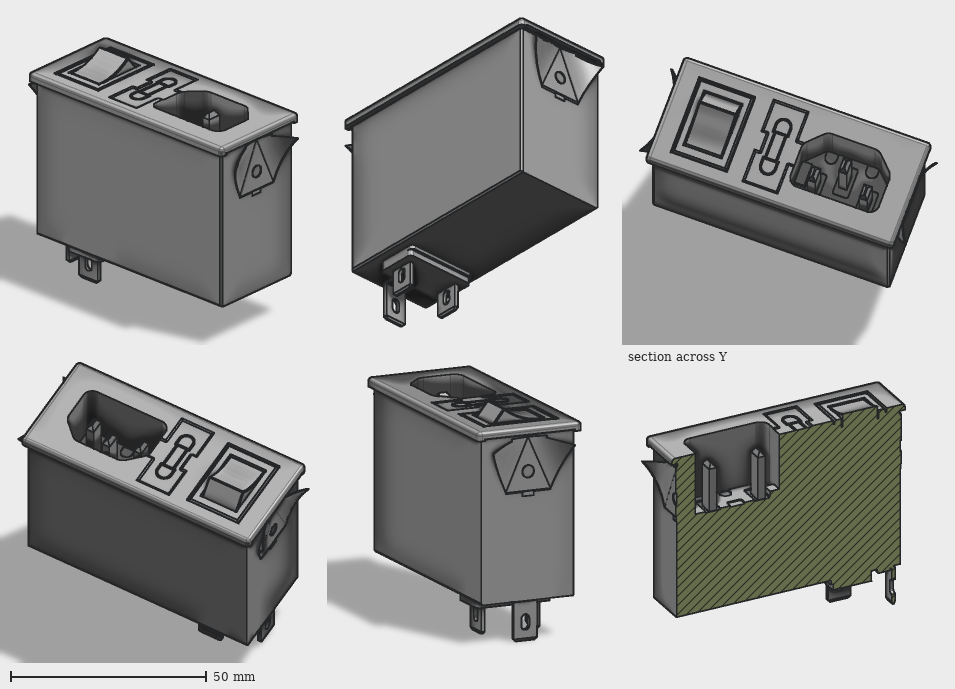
import cadquery as cq
import math


FLANGE_X, FLANGE_Y, FLANGE_T = 67.45, 29.35, 2.4
FLANGE_CORNER_R, FLANGE_EDGE_R = 1.1, 1.0
BODY_X, BODY_Y, BODY_H = 64.6, 26.5, 43.6
BODY_CHAMFER = 0.5
RELIEF_H, RELIEF_Y, RELIEF_INSET = 0.5, 25.6, 0.3

OVERALL_X = 72.7
CLIP_T = 0.3
CLIP_APEX_Z = -0.4
CLIP_BASE_Y, CLIP_BASE_Z = 6.3, -14.5
CLIP_TIP_Y, CLIP_TIP_Z = 11.55, -3.0
CLIP_SHOULDER_Y, CLIP_SHOULDER_Z = 4.95, -1.0
CLIP_LIP_H = 0.4
CLIP_TAB_W, CLIP_TAB_H, CLIP_TAB_T = 3.2, 1.45, 0.15
CLIP_HOLE_D, CLIP_HOLE_Z = 3.3, -9.5

SWITCH_X = -20.65
BEZEL_X, BEZEL_Y, BEZEL_GAP, BEZEL_CHAMFER = 15.3, 21.3, 0.3, 0.5
BEZEL_DEPTH = 1.1
WELL_X, WELL_Y, WELL_DEPTH = 10.6, 15.55, 2.4
ROCKER_X, ROCKER_CHAMFER = 10.2, 0.3
ROCKER_PEAK_Y, ROCKER_PEAK_Z = 3.8, 5.75
ROCKER_CREST = 0.4
ROCKER_MID_Y, ROCKER_MID_Z = 0.1, 3.7
ROCKER_END_Y, ROCKER_END_Z = -7.1, 2.25
ROCKER_FOOT_Z = 0.7

FUSE_LEFT, FUSE_RIGHT, FUSE_Y = -8.35, 1.3, 23.25
FUSE_DEPTH, FUSE_SLOPE = 0.2, 0.5
NOTCH_X, NOTCH_Y = 1.45, 5.1
TAB_Y = 6.9
SYMBOL_X, SYMBOL_LINE, SYMBOL_H = -3.5, 0.4, 0.15
CAP_W, CAP_START, CAP_END = 4.35, 3.5, 7.85
TUBE_W = 3.4

INLET_LEFT, INLET_RIGHT = 2.7, 26.8
INLET_Y, INLET_DEPTH = 16.35, 17.45
INLET_CORNER, INLET_CORNER_R, INLET_BOTTOM_R = 5.1, 2.9, 2.55
PIN_X, PIN_Y, PIN_H, EARTH_PIN_H = 2.2, 3.9, 13.2, 16.1
PIN_TIP_H, PIN_TIP_INSET = 1.4, 0.95
PIN_PITCH, PIN_OFFSET_Y = 7.05, 2.0
SEAT_X, SEAT_Y, SEAT_R, SEAT_DEPTH = 4.2, 8.15, 0.6, 0.35
KEY_W, KEY_L, KEY_PITCH = 3.1, 3.05, 11.1
LATCH_X, LATCH_Y, LATCH_H = 2.7, 6.0, 1.45

BASE_LEFT, BASE_RIGHT, BASE_STEP = -24.0, -12.9, 0.65
BASE_Y, BASE_H, BASE_STEP_H, BASE_R = 20.9, 2.9, 1.15, 1.0

BLADE_W, BLADE_T = 6.55, 1.1
BLADE_CHAMFER, BLADE_BEVEL = 0.7, 0.3
SLOT_W, SLOT_L = 2.25, 4.15
LIVE_X, LIVE_Y, LIVE_END, LIVE_SLOT_Z = -18.5, 7.8, -54.1, -49.2
EARTH_X, EARTH_END, EARTH_SLOT_Z = -30.3, -54.6, -49.65
FOOT_END, FOOT_T, BEND_CHAMFER = -25.6, 0.65, 0.6
RIVET_X, RIVET_D, RIVET_H = -27.6, 3.8, 0.5

INLET_X = (INLET_LEFT + INLET_RIGHT) / 2
OVERLAP = 0.35


def box(x0, x1, y0, y1, z0, z1):
    """Box between opposite corners."""
    return cq.Workplane("XY").box(x1 - x0, y1 - y0, z1 - z0, centered=False).translate((x0, y0, z0))


def block(cx, cy, size_x, size_y, z0, z1):
    """Box centred on (cx, cy) that spans z0 to z1."""
    return box(cx - size_x / 2, cx + size_x / 2, cy - size_y / 2, cy + size_y / 2, z0, z1)


def housing():
    """Rounded panel flange on a box body, chamfered at its -Y corners and long bottom edges."""
    flange = block(0, 0, FLANGE_X, FLANGE_Y, 0, FLANGE_T)
    flange = flange.edges("|Z").fillet(FLANGE_CORNER_R).faces(">Z").edges().fillet(FLANGE_EDGE_R)
    body = block(0, 0, BODY_X, BODY_Y, -BODY_H, OVERLAP)
    body = body.faces("<Y").edges("|Z").chamfer(BODY_CHAMFER)
    body = body.faces("<Z").edges("|X").chamfer(BODY_CHAMFER)
    shell = flange.union(body)
    for side in (-1, 1):
        inner = side * (BODY_X / 2 - RELIEF_INSET)
        outer = side * FLANGE_X / 2
        half = RELIEF_Y / 2
        shell = shell.cut(box(min(inner, outer), max(inner, outer), -half, half, 0, RELIEF_H))
    return shell


def clip():
    """Retaining clip on the -X end: a flat triangle with two wings that curl outward."""
    back = -BODY_X / 2
    face = back - CLIP_T

    drop = CLIP_BASE_Z - CLIP_APEX_Z
    fold_length = math.hypot(CLIP_BASE_Y, drop)
    along = (CLIP_BASE_Y / fold_length, drop / fold_length)
    across = (-along[1], along[0])
    reach = CLIP_TIP_Y * across[0] + (CLIP_TIP_Z - CLIP_APEX_Z) * across[1]
    rise = OVERALL_X / 2 + face
    radius = (reach ** 2 + rise ** 2) / (2 * rise)

    plane = cq.Plane(
        origin=(face - radius, 0, CLIP_APEX_Z),
        xDir=(0, across[0], across[1]),
        normal=(0, along[0], along[1]),
    )
    shell = cq.Workplane(plane).circle(radius + CLIP_T).circle(radius).extrude(2 * fold_length, both=True)
    outline = [
        (0, CLIP_APEX_Z),
        (CLIP_SHOULDER_Y, CLIP_APEX_Z),
        (CLIP_SHOULDER_Y, CLIP_SHOULDER_Z),
        (CLIP_TIP_Y, CLIP_TIP_Z),
        (CLIP_BASE_Y, CLIP_BASE_Z),
    ]
    depth = rise + CLIP_T
    wing = cq.Workplane("YZ", origin=(back, 0, 0)).polyline(outline).close().extrude(-depth)
    wing = wing.intersect(shell)

    triangle = [(0, CLIP_APEX_Z), (CLIP_BASE_Y, CLIP_BASE_Z), (-CLIP_BASE_Y, CLIP_BASE_Z)]
    plate = cq.Workplane("YZ", origin=(back + OVERLAP, 0, 0)).polyline(triangle).close()
    plate = plate.extrude(-(CLIP_T + OVERLAP))
    lip_profile = [
        (back + OVERLAP, CLIP_BASE_Z),
        (face, CLIP_BASE_Z),
        (back, CLIP_BASE_Z - CLIP_LIP_H),
        (back + OVERLAP, CLIP_BASE_Z - CLIP_LIP_H),
    ]
    lip = cq.Workplane("XZ").polyline(lip_profile).close().extrude(CLIP_BASE_Y, both=True)
    tab_top = CLIP_BASE_Z - CLIP_LIP_H / 2
    tab = box(
        back - CLIP_TAB_T, back + OVERLAP,
        -CLIP_TAB_W / 2, CLIP_TAB_W / 2,
        CLIP_BASE_Z - CLIP_TAB_H, tab_top,
    )
    hole = cq.Workplane("YZ", origin=(back, 0, CLIP_HOLE_Z)).circle(CLIP_HOLE_D / 2).extrude(-CLIP_T)
    return plate.cut(hole).union(lip).union(tab).union(wing).union(wing.mirror("XZ"))


def switch_recess():
    """Narrow gap around the chamfered bezel, and the well the rocker sits in."""
    outer = block(SWITCH_X, 0, BEZEL_X, BEZEL_Y, FLANGE_T - BEZEL_DEPTH, FLANGE_T)
    inset = 2 * BEZEL_GAP
    bezel = block(SWITCH_X, 0, BEZEL_X - inset, BEZEL_Y - inset, FLANGE_T - BEZEL_DEPTH, FLANGE_T)
    bezel = bezel.faces(">Z").edges().chamfer(BEZEL_CHAMFER)
    well = block(SWITCH_X, 0, WELL_X, WELL_Y, FLANGE_T - WELL_DEPTH, FLANGE_T)
    return outer.cut(bezel).union(well)


def rocker():
    """Rocker tilted towards +Y: one steep flat flank and one hollow flank."""
    floor = FLANGE_T - WELL_DEPTH
    crest_y = ROCKER_PEAK_Y - ROCKER_CREST
    profile = (
        cq.Workplane("YZ", origin=(SWITCH_X, 0, 0))
        .moveTo(ROCKER_END_Y, floor - OVERLAP)
        .lineTo(ROCKER_END_Y, ROCKER_END_Z)
        .threePointArc((ROCKER_MID_Y, ROCKER_MID_Z), (crest_y, ROCKER_PEAK_Z))
        .lineTo(ROCKER_PEAK_Y, ROCKER_PEAK_Z)
        .lineTo(WELL_Y / 2, ROCKER_FOOT_Z)
        .lineTo(WELL_Y / 2, floor - OVERLAP)
        .close()
    )
    solid = profile.extrude(ROCKER_X / 2, both=True)
    return solid.faces("<X or >X").edges("not <Z").chamfer(ROCKER_CHAMFER)


def fuse_recess():
    """Shallow recess with sloping walls, notched on the left and open to the inlet on the right."""
    half, notch, tab = FUSE_Y / 2, NOTCH_Y / 2, TAB_Y / 2
    end = INLET_LEFT + 2 * FUSE_SLOPE
    outline = [
        (FUSE_LEFT, half), (FUSE_RIGHT, half), (FUSE_RIGHT, tab), (end, tab),
        (end, -tab), (FUSE_RIGHT, -tab), (FUSE_RIGHT, -half), (FUSE_LEFT, -half),
        (FUSE_LEFT, -notch), (FUSE_LEFT + NOTCH_X, -notch),
        (FUSE_LEFT + NOTCH_X, notch), (FUSE_LEFT, notch),
    ]
    draft = math.degrees(math.atan2(FUSE_SLOPE, FUSE_DEPTH))
    sketch = cq.Workplane("XY", origin=(0, 0, FLANGE_T)).polyline(outline).close()
    return sketch.extrude(-FUSE_DEPTH, taper=draft)


def fuse_shape(inset):
    """Cartridge fuse outline, shrunk by inset: a tube between two round-ended caps."""
    bottom = FLANGE_T - FUSE_DEPTH - OVERLAP
    top = FLANGE_T - FUSE_DEPTH + SYMBOL_H
    shape = block(SYMBOL_X, 0, TUBE_W - 2 * inset, 2 * CAP_START, bottom, top)
    radius = CAP_W / 2 - inset
    start = CAP_START + inset
    round_y = CAP_END - inset - radius
    for side in (-1, 1):
        low, high = sorted((side * start, side * round_y))
        cap = box(SYMBOL_X - radius, SYMBOL_X + radius, low, high, bottom, top)
        end = cq.Workplane("XY", origin=(SYMBOL_X, side * round_y, bottom)).circle(radius)
        end = end.extrude(top - bottom)
        end = end.intersect(block(SYMBOL_X, side * (start + CAP_W), CAP_W, 2 * CAP_W, bottom, top))
        shape = shape.union(cap).union(end)
    return shape


def fuse_symbol():
    """Raised line drawing of a cartridge fuse."""
    return fuse_shape(0).cut(fuse_shape(SYMBOL_LINE))


def inlet_cavity():
    """Mains inlet socket with two cut corners on the +Y side."""
    half = INLET_Y / 2
    floor = FLANGE_T - INLET_DEPTH
    outline = [
        (INLET_LEFT, -half), (INLET_RIGHT, -half),
        (INLET_RIGHT, half - INLET_CORNER), (INLET_RIGHT - INLET_CORNER, half),
        (INLET_LEFT + INLET_CORNER, half), (INLET_LEFT, half - INLET_CORNER),
    ]
    cavity = cq.Workplane("XY", origin=(0, 0, floor)).polyline(outline).close().extrude(INLET_DEPTH)
    cavity = cavity.edges("|Z and (not <Y)").fillet(INLET_CORNER_R)
    return cavity.edges("|Z and <Y").fillet(INLET_BOTTOM_R)


def inlet_pins():
    """Centre and height of the earth pin in the middle and the two outer pins."""
    return [
        (INLET_X - PIN_PITCH, -PIN_OFFSET_Y, PIN_H),
        (INLET_X, PIN_OFFSET_Y, EARTH_PIN_H),
        (INLET_X + PIN_PITCH, -PIN_OFFSET_Y, PIN_H),
    ]


def inlet_floor_recesses():
    """Seats around the pins and three round-ended keyways in the socket floor."""
    floor = FLANGE_T - INLET_DEPTH
    cuts = cq.Workplane("XY")
    for x, y, _ in inlet_pins():
        seat = block(x, y, SEAT_X, SEAT_Y, floor - SEAT_DEPTH, floor)
        cuts = cuts.add(seat.edges("|Z").fillet(SEAT_R))
    half = INLET_Y / 2
    for x, side in ((INLET_X - KEY_PITCH / 2, 1), (INLET_X + KEY_PITCH / 2, 1), (INLET_X, -1)):
        round_y = side * (half - KEY_L + KEY_W / 2)
        low, high = sorted((round_y, side * half))
        cuts = cuts.add(box(x - KEY_W / 2, x + KEY_W / 2, low, high, floor - SEAT_DEPTH, floor))
        end = cq.Workplane("XY", origin=(x, round_y, floor)).circle(KEY_W / 2).extrude(-SEAT_DEPTH)
        cuts = cuts.add(end)
    return cuts.combine()


def inlet_contacts():
    """Three pins with hipped ends, and the fuse drawer latch beside the left wall."""
    floor = FLANGE_T - INLET_DEPTH
    parts = box(
        INLET_LEFT - OVERLAP, INLET_LEFT + LATCH_X,
        -LATCH_Y / 2, LATCH_Y / 2,
        floor - OVERLAP, floor + LATCH_H,
    )
    slope = math.degrees(math.atan2(PIN_TIP_INSET, PIN_TIP_H))
    for x, y, height in inlet_pins():
        shoulder = floor + height - PIN_TIP_H
        pin = block(x, y, PIN_X, PIN_Y, floor - SEAT_DEPTH - OVERLAP, shoulder)
        tip = cq.Workplane("XY", origin=(x, y, shoulder)).rect(PIN_X, PIN_Y).extrude(PIN_TIP_H, taper=slope)
        parts = parts.union(pin.union(tip))
    return parts


def switch_base():
    """Switch underside: a rounded block with a short step on its +X side."""
    def rounded(right, height):
        solid = box(BASE_LEFT, right, -BASE_Y / 2, BASE_Y / 2, -BODY_H - height, -BODY_H + OVERLAP)
        return solid.edges("|Z").fillet(BASE_R)

    return rounded(BASE_RIGHT, BASE_H).union(rounded(BASE_RIGHT + BASE_STEP, BASE_STEP_H))


def blade(top, end, slot_z):
    """Slotted spade terminal in the XZ plane, centred on X = Y = 0."""
    solid = block(0, 0, BLADE_W, BLADE_T, end, top)
    solid = solid.edges("|Y and <Z").chamfer(BLADE_CHAMFER)
    solid = solid.faces("<Z").edges("|X").chamfer(BLADE_CHAMFER, BLADE_BEVEL)
    slot = cq.Workplane("XZ", origin=(0, 0, slot_z)).slot2D(SLOT_L, SLOT_W, 90).extrude(BLADE_T, both=True)
    return solid.cut(slot)


def live_terminals():
    """Two spade terminals below the switch base."""
    front = blade(-BODY_H - BASE_H + OVERLAP, LIVE_END, LIVE_SLOT_Z).translate((LIVE_X, -LIVE_Y, 0))
    return front.union(front.mirror("XZ"))


def earth_terminal():
    """Bent earth terminal: foot on the body, rivet head and spade turned across X."""
    spade = blade(-BODY_H - FOOT_T, EARTH_END, EARTH_SLOT_Z)
    spade = spade.rotate((0, 0, 0), (0, 0, 1), 90).translate((EARTH_X, 0, 0))
    outer = EARTH_X - BLADE_T / 2
    foot = box(outer, FOOT_END, -BLADE_W / 2, BLADE_W / 2, -BODY_H - FOOT_T, -BODY_H)
    foot = foot.edges("|Y and <X and >Z").chamfer(BEND_CHAMFER)
    rivet = cq.Workplane("XY", origin=(RIVET_X, 0, -BODY_H - FOOT_T)).circle(RIVET_D / 2).extrude(-RIVET_H)
    rivet = rivet.faces("<Z").edges().chamfer(RIVET_H / 2)
    return spade.union(foot).union(rivet)


result = (
    housing()
    .cut(switch_recess())
    .cut(fuse_recess())
    .cut(inlet_cavity())
    .cut(inlet_floor_recesses())
)
for piece in (rocker(), fuse_symbol(), inlet_contacts(), switch_base(), live_terminals(), earth_terminal()):
    result = result.union(piece)
left_clip = clip()
result = result.union(left_clip).union(left_clip.mirror("YZ"))